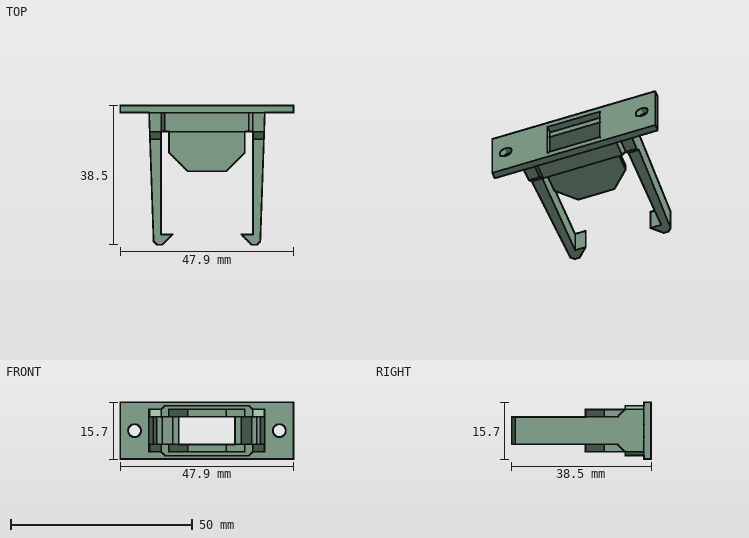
import cadquery as cq

plate_length = 47.9
plate_height = 15.7
plate_thickness = 2.0
screw_hole_diameter = 3.5
screw_hole_spacing = 39.95

plate_opening_width = 15.4
plate_opening_height = 11.8
passage_height = 7.55

collar_width = 25.3
collar_height = 13.8
collar_depth = 5.2
collar_chamfer = 1.05
passage_width = collar_width
collar_front = plate_thickness + collar_depth

tongue_width = 20.98
tongue_chamfer = 5.15
tongue_thickness = 2.1
tongue_reach = 18.2

arm_reach = 38.5
arm_inner_x = collar_width / 2
arm_root_x = 16.0
arm_tip_x = 14.75
arm_tip_chamfer = 0.95
arm_height = passage_height
arm_root_height = passage_height + 2 * tongue_thickness
arm_shoulder_chamfer = (arm_root_height - arm_height) / 2
hook_tip_x = 9.5
hook_length = 2.85


def box_forward(width, height, start, end):
    """Box centred on X and Z, spanning the given distances forward of the back face."""
    return cq.Workplane("XY").box(width, end - start, height).translate((0, -(start + end) / 2, 0))


def make_plate():
    holes = (
        cq.Workplane("XZ")
        .pushPoints([(-screw_hole_spacing / 2, 0), (screw_hole_spacing / 2, 0)])
        .circle(screw_hole_diameter / 2)
        .extrude(plate_thickness)
    )
    return box_forward(plate_length, plate_height, 0, plate_thickness).cut(holes)


def make_collar():
    collar = box_forward(collar_width, collar_height, plate_thickness, collar_front)
    return collar.edges("|Y").chamfer(collar_chamfer)


def make_tongue(side):
    """Tongue with cut corners; side is +1 above the passage and -1 below it."""
    tongue = (
        box_forward(tongue_width, tongue_thickness, plate_thickness, tongue_reach)
        .edges("|Z and <Y")
        .chamfer(tongue_chamfer)
    )
    return tongue.translate((0, 0, side * (passage_height + tongue_thickness) / 2))


def make_right_arm():
    """Tapered snap arm with an inward hook, stepped down in height past the collar."""
    shoulder_end = collar_front + arm_shoulder_chamfer
    hook_start = arm_reach - hook_length
    plan = (
        cq.Workplane("XY")
        .workplane(offset=-arm_root_height / 2)
        .polyline([
            (arm_inner_x, -plate_thickness),
            (arm_root_x, -plate_thickness),
            (arm_tip_x, -(arm_reach - arm_tip_chamfer)),
            (arm_tip_x - arm_tip_chamfer, -arm_reach),
            (hook_tip_x + hook_length, -arm_reach),
            (hook_tip_x, -hook_start),
            (arm_inner_x, -hook_start),
        ])
        .close()
        .extrude(arm_root_height)
    )
    side_profile = (
        cq.Workplane("YZ")
        .polyline([
            (-plate_thickness, -arm_root_height / 2),
            (-collar_front, -arm_root_height / 2),
            (-shoulder_end, -arm_height / 2),
            (-arm_reach, -arm_height / 2),
            (-arm_reach, arm_height / 2),
            (-shoulder_end, arm_height / 2),
            (-collar_front, arm_root_height / 2),
            (-plate_thickness, arm_root_height / 2),
        ])
        .close()
        .extrude(arm_root_x)
    )
    return plan.intersect(side_profile)


right_arm = make_right_arm()
left_arm = right_arm.mirror("YZ")
plate_opening = box_forward(plate_opening_width, plate_opening_height, 0, plate_thickness)
passage = box_forward(passage_width, passage_height, plate_thickness, collar_front)

body = make_collar()
for side in (1, -1):
    body = body.union(make_tongue(side))
body = body.cut(passage)

plate = make_plate().cut(plate_opening)
result = plate.union(body).union(right_arm).union(left_arm)